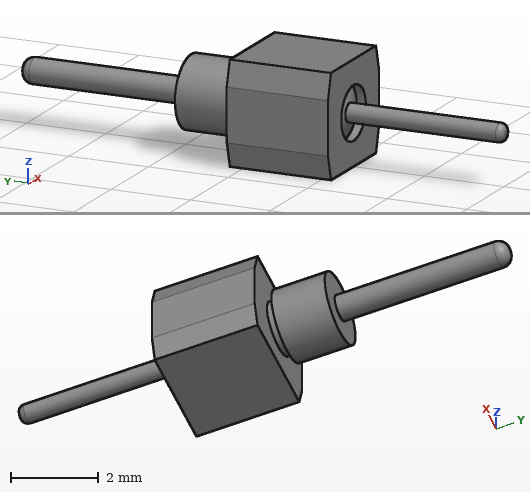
import cadquery as cq

housing_width = 2.74
housing_height = 2.55
housing_length = 2.55
flat_top_width = 2.41
side_flat_height = 1.32

core_diameter = 1.32
collar_diameter = 1.78
front_tail_diameter = 0.46
rear_tail_diameter = 0.63
neck_length = 0.2
collar_length = 1.32
front_tail_length = 3.84
front_tip_radius = 0.17
rear_tip_radius = 0.27
overall_length = 12.12

cone_base_depth = 0.23
cone_tip_depth = 0.1

front_end = -front_tail_length
rear_end = front_end + overall_length
collar_front = housing_length + neck_length
collar_rear = collar_front + collar_length


def make_housing():
    """Block extruded along Y, bored through to take the core of the pin."""
    top = housing_height / 2
    side = housing_width / 2
    flat_x = flat_top_width / 2
    flat_z = side_flat_height / 2
    outline = [
        (flat_x, top),
        (side, flat_z),
        (side, -flat_z),
        (flat_x, -top),
        (-flat_x, -top),
        (-side, -flat_z),
        (-side, flat_z),
        (-flat_x, top),
    ]
    block = cq.Workplane("XZ").polyline(outline).close().extrude(-housing_length)
    bore = cq.Workplane("XZ").circle(core_diameter / 2).extrude(-housing_length)
    return block.cut(bore)


def make_pin():
    """Half profile (radius, Y) revolved about Y, then rounded at both tips."""
    front_radius = front_tail_diameter / 2
    core_radius = core_diameter / 2
    collar_radius = collar_diameter / 2
    rear_radius = rear_tail_diameter / 2
    profile = [
        (0, front_end),
        (front_radius, front_end),
        (front_radius, cone_tip_depth),
        (core_radius, cone_base_depth),
        (core_radius, collar_front),
        (collar_radius, collar_front),
        (collar_radius, collar_rear),
        (rear_radius, collar_rear),
        (rear_radius, rear_end),
        (0, rear_end),
    ]
    pin = cq.Workplane("XY").polyline(profile).close().revolve(360, (0, 0), (0, 1))
    pin = pin.faces("<Y").edges().fillet(front_tip_radius)
    return pin.faces(">Y").edges().fillet(rear_tip_radius)


housing = make_housing()
pin = make_pin()

result = cq.Compound.makeCompound([housing.val(), pin.val()])